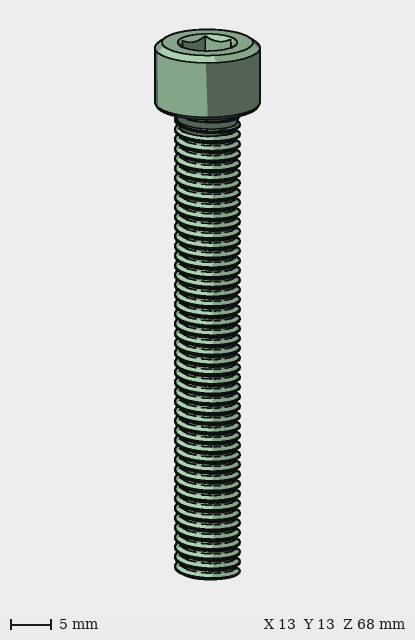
import cadquery as cq
import math

total_length = 68.0
head_diameter = 13.0
head_height = 8.0
shank_length = total_length - head_height

top_bevel_height = 0.7
top_bevel_width = 0.9
bottom_bevel_height = 0.35
bottom_bevel_width = 0.2

thread_turns = 48
neck_turns = 3
shank_turns = thread_turns - neck_turns
pitch = shank_length / thread_turns
major_diameter = 8.0
core_diameter = 6.65
flank_angle = 30.0
crest_width = pitch / 8
crest_height = 0.15
flank_steps = 6

fillet_height = 1.15
fillet_radius = 2.05
fillet_end_diameter = 9.0
cone_height = 1.9
cone_top_diameter = 7.95
cone_bottom_diameter = 6.8

socket_width = 6.0
socket_depth = 4.0
socket_mouth_diameter = 7.35
socket_tip_angle = 120.0
socket_mouth_angle = 90.0

head_radius = head_diameter / 2
major_radius = major_diameter / 2
core_radius = core_diameter / 2


def point_at(radius, angle):
    """Point across the axis at the given radius and angle in degrees."""
    return (radius * math.cos(math.radians(angle)), radius * math.sin(math.radians(angle)))


def make_head_and_neck():
    """Revolve the flared neck and the beveled head in one outline."""
    cone_top = shank_length - fillet_height
    cone_bottom = cone_top - cone_height
    return (
        cq.Workplane("XZ")
        .moveTo(0, cone_bottom)
        .lineTo(cone_bottom_diameter / 2, cone_bottom)
        .lineTo(cone_top_diameter / 2, cone_top)
        .radiusArc((fillet_end_diameter / 2, shank_length), fillet_radius)
        .lineTo(head_radius - bottom_bevel_width, shank_length)
        .lineTo(head_radius, shank_length + bottom_bevel_height)
        .lineTo(head_radius, total_length - top_bevel_height)
        .lineTo(head_radius - top_bevel_width, total_length)
        .lineTo(0, total_length)
        .close()
        .revolve(360, (0, 0, 0), (0, 1, 0))
    )


def make_turn():
    """Twist the cross-section of a left-handed thread once around the axis, from Z = 0 up.

    Along the axis one pitch is one turn, so the crest and the flanks each span an
    angle of the cross-section, and a straight flank becomes a spiral.
    """
    degrees_per_length = 360 / pitch
    crest_middle = crest_height * degrees_per_length
    half_crest = crest_width / 2 * degrees_per_length
    flank_width = (major_radius - core_radius) * math.tan(math.radians(flank_angle))
    flank_sweep = flank_width * degrees_per_length

    def flank_point(side, share):
        """Point on the flank at side +1 or -1, at a share of the way from crest to root."""
        radius = major_radius + share * (core_radius - major_radius)
        return point_at(radius, crest_middle + side * (half_crest + share * flank_sweep))

    shares = [i / flank_steps for i in range(flank_steps + 1)]
    leading = [flank_point(1, share) for share in shares]
    trailing = [flank_point(-1, share) for share in reversed(shares)]
    return (
        cq.Workplane("XY")
        .moveTo(*trailing[-1])
        .threePointArc(point_at(major_radius, crest_middle), leading[0])
        .spline(leading[1:], includeCurrent=True)
        .threePointArc(point_at(core_radius, crest_middle + 180), trailing[0])
        .spline(trailing[1:], includeCurrent=True)
        .close()
        .twistExtrude(pitch, -360)
    )


def make_socket():
    """Hexagon with corners toward +Y and -Y, a conical floor and a beveled mouth."""
    corner_radius = socket_width / math.sqrt(3)
    mouth_radius = socket_mouth_diameter / 2
    half_mouth_angle = math.radians(socket_mouth_angle / 2)
    half_tip_angle = math.radians(socket_tip_angle / 2)
    floor_height = total_length - socket_depth
    tip_height = floor_height - corner_radius / math.tan(half_tip_angle)
    hexagon = (
        cq.Workplane("XY", origin=(0, 0, tip_height))
        .polygon(6, 2 * corner_radius)
        .extrude(total_length - tip_height)
        .rotate((0, 0, 0), (0, 0, 1), 30)
    )
    conical_floor = (
        cq.Workplane("XZ")
        .moveTo(0, tip_height)
        .lineTo(corner_radius, floor_height)
        .lineTo(corner_radius, total_length)
        .lineTo(0, total_length)
        .close()
        .revolve(360, (0, 0, 0), (0, 1, 0))
    )
    mouth_tip_height = total_length - mouth_radius / math.tan(half_mouth_angle)
    mouth = (
        cq.Workplane("XZ")
        .moveTo(0, mouth_tip_height)
        .lineTo(mouth_radius, total_length)
        .lineTo(0, total_length)
        .close()
        .revolve(360, (0, 0, 0), (0, 1, 0))
    )
    return hexagon.intersect(conical_floor).union(mouth)


def make_screw():
    """Fuse the topmost turns with the neck, then sew the shank's turns on below them.

    All the turns are whole, so each one meets the next in the same outline and only
    their flanks, crests and roots are kept, with the flat tip of the lowest turn.
    """
    turn = make_turn()
    upper_part = make_head_and_neck().cut(make_socket())
    for index in range(shank_turns, thread_turns):
        upper_part = upper_part.union(turn.translate((0, 0, index * pitch)), clean=False)
    outer_faces = upper_part.faces("not(<Z)").vals() + turn.faces("<Z").vals()
    for index in range(shank_turns):
        outer_faces += turn.translate((0, 0, index * pitch)).faces("not(<Z or >Z)").vals()
    return cq.Workplane(cq.Solid.makeSolid(cq.Shell.makeShell(outer_faces)))


result = make_screw()